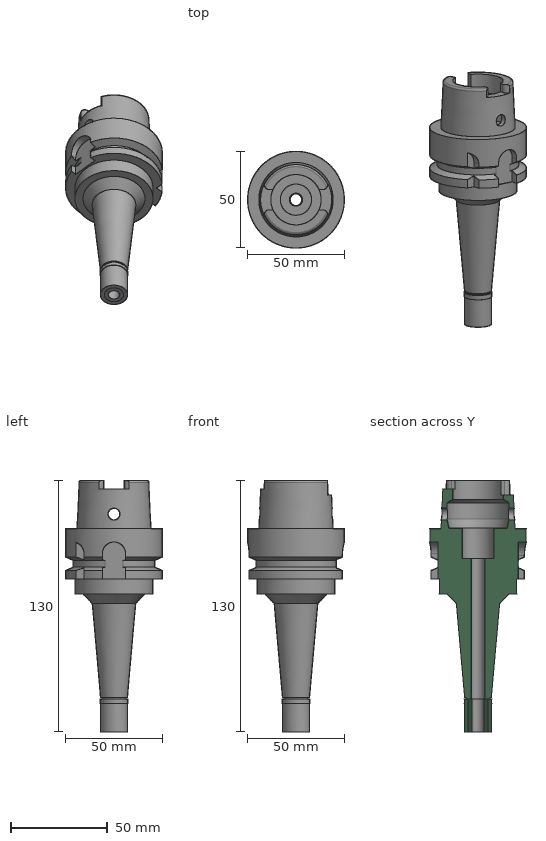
import cadquery as cq
import math

LENGTH = 130.0

SHANK_LENGTH = 25.0
SHANK_BASE_RADIUS = 19.2
SHANK_TIP_RADIUS = 18.1
SHANK_RIM_ROUNDING = 1.0
CROSS_HOLE_RADIUS = 3.0
CROSS_HOLE_DEPTH = 17.4

SHANK_SLOT_HALF_WIDTH = 5.2
SHANK_SLOT_ROUNDING = 2.6
SHANK_SLOT_LIP_X = 16.4
SHANK_SLOT_DEPTH_NEG_X = 4.4
SHANK_SLOT_DEPTH_POS_X = 7.5

MOUTH_RADIUS = 13.0
MOUTH_DEPTH = 9.9
CLAMP_FACE_ANGLE = math.radians(30)
CHAMBER_RADIUS = 16.0
CHAMBER_WALL_DEPTH = 20.0
CHAMBER_FLOOR_RADIUS = 15.0
CHAMBER_FLOOR_DEPTH = 24.7
THREAD_BORE_RADIUS = 8.0
THREAD_BORE_LENGTH = 15.6
COOLANT_BORE_RADIUS = 3.4

FLANGE_DIAMETER = 50.0
FLANGE_RADIUS = FLANGE_DIAMETER / 2
FLANGE_HEIGHT = 26.0
GROOVE_RADIUS = 21.2
GROOVE_TOP_DEPTH = 14.7
GROOVE_WALL_HEIGHT = 1.7
GROOVE_FLOOR_HEIGHT = 3.5

KEY_FLOOR_NEG_X = 20.7
KEY_FLOOR_POS_X = 20.9
KEY_TOP_DEPTH = 6.9
KEY_HALF_WIDTH_NEG_X = 6.0
KEY_HALF_WIDTH_POS_X = 7.0
NOTCH_FLOOR_X = 15.6
NOTCH_Y = 21.5

HUB_RADIUS = 20.2
HUB_LENGTH = 7.8
SHOULDER_RADIUS = 16.0
SHOULDER_LENGTH = 4.8
NECK_TOP_RADIUS = 11.3
NECK_BOTTOM_RADIUS = 7.0
RELIEF_RADIUS = 6.2
RELIEF_LENGTH = 0.8

NUT_LENGTH = 17.0
NUT_RADIUS = 7.0
COLLAR_RADIUS = 7.2
COLLAR_LENGTH = 2.3
COLLET_RADIUS = 5.0
COLLET_BORE_RADIUS = 3.0

FLANGE_TOP = LENGTH - SHANK_LENGTH
FLANGE_BOTTOM = FLANGE_TOP - FLANGE_HEIGHT
HUB_BOTTOM = FLANGE_BOTTOM - HUB_LENGTH
NECK_TOP = HUB_BOTTOM - SHOULDER_LENGTH
NECK_BOTTOM = NUT_LENGTH + RELIEF_LENGTH


def cylinder(radius, bottom, top):
    return cq.Workplane("XY").workplane(offset=bottom).circle(radius).extrude(top - bottom)


def revolved(points):
    """Solid of revolution about Z from (radius, height) points."""
    return cq.Workplane("XZ").polyline(points).close().revolve(360, (0, 0), (0, 1))


def shank():
    cone = revolved([
        (0, FLANGE_TOP),
        (SHANK_BASE_RADIUS, FLANGE_TOP),
        (SHANK_TIP_RADIUS, LENGTH),
        (0, LENGTH),
    ])
    return cone.faces(">Z").edges().fillet(SHANK_RIM_ROUNDING)


def flange_and_neck():
    groove_top = FLANGE_TOP - GROOVE_TOP_DEPTH
    floor_top = groove_top - GROOVE_WALL_HEIGHT
    floor_bottom = floor_top - GROOVE_FLOOR_HEIGHT
    groove_bottom = floor_bottom - GROOVE_WALL_HEIGHT
    return revolved([
        (0, FLANGE_TOP),
        (FLANGE_RADIUS, FLANGE_TOP),
        (FLANGE_RADIUS, groove_top),
        (GROOVE_RADIUS, floor_top),
        (GROOVE_RADIUS, floor_bottom),
        (FLANGE_RADIUS, groove_bottom),
        (FLANGE_RADIUS, FLANGE_BOTTOM),
        (HUB_RADIUS, FLANGE_BOTTOM),
        (HUB_RADIUS, HUB_BOTTOM),
        (SHOULDER_RADIUS, HUB_BOTTOM),
        (NECK_TOP_RADIUS, NECK_TOP),
        (NECK_BOTTOM_RADIUS, NECK_BOTTOM),
        (RELIEF_RADIUS, NECK_BOTTOM),
        (RELIEF_RADIUS, NUT_LENGTH),
        (0, NUT_LENGTH),
    ])


def bores():
    mouth_bottom = LENGTH - MOUTH_DEPTH
    clamp_bottom = mouth_bottom - (CHAMBER_RADIUS - MOUTH_RADIUS) * math.tan(CLAMP_FACE_ANGLE)
    wall_bottom = LENGTH - CHAMBER_WALL_DEPTH
    chamber_bottom = LENGTH - CHAMBER_FLOOR_DEPTH
    thread_bottom = chamber_bottom - THREAD_BORE_LENGTH
    return revolved([
        (0, LENGTH),
        (MOUTH_RADIUS, LENGTH),
        (MOUTH_RADIUS, mouth_bottom),
        (CHAMBER_RADIUS, clamp_bottom),
        (CHAMBER_RADIUS, wall_bottom),
        (CHAMBER_FLOOR_RADIUS, chamber_bottom),
        (THREAD_BORE_RADIUS, chamber_bottom),
        (THREAD_BORE_RADIUS, thread_bottom),
        (COOLANT_BORE_RADIUS, thread_bottom),
        (COOLANT_BORE_RADIUS, NUT_LENGTH),
        (0, NUT_LENGTH),
    ])


def cross_hole():
    return (
        cq.Workplane("YZ")
        .center(0, LENGTH - CROSS_HOLE_DEPTH)
        .circle(CROSS_HOLE_RADIUS)
        .extrude(SHANK_BASE_RADIUS, both=True)
    )


def shank_slot(side, depth):
    """Cutter for a slot in the shank face; side is +1 or -1 along X."""
    half = SHANK_SLOT_HALF_WIDTH
    flared = half + SHANK_SLOT_ROUNDING
    lip = side * SHANK_SLOT_LIP_X
    round_start = side * (SHANK_SLOT_LIP_X - SHANK_SLOT_ROUNDING)
    outer = side * SHANK_BASE_RADIUS
    return (
        cq.Workplane("XY")
        .workplane(offset=LENGTH - depth)
        .moveTo(0, -half)
        .lineTo(round_start, -half)
        .radiusArc((lip, -flared), side * SHANK_SLOT_ROUNDING)
        .lineTo(outer, -flared)
        .lineTo(outer, flared)
        .lineTo(lip, flared)
        .radiusArc((round_start, half), side * SHANK_SLOT_ROUNDING)
        .lineTo(0, half)
        .close()
        .extrude(depth)
    )


def flange_slot(side, floor_x, half_width, y=0.0):
    """Cutter for a round-topped slot, open at the flange bottom and outwards along X."""
    top = FLANGE_TOP - KEY_TOP_DEPTH
    spring = top - half_width
    return (
        cq.Workplane("YZ")
        .workplane(offset=side * floor_x)
        .moveTo(y - half_width, FLANGE_BOTTOM)
        .lineTo(y - half_width, spring)
        .threePointArc((y, top), (y + half_width, spring))
        .lineTo(y + half_width, FLANGE_BOTTOM)
        .close()
        .extrude(side * (FLANGE_RADIUS - floor_x))
    )


def make_holder():
    body = shank().union(flange_and_neck()).cut(bores()).cut(cross_hole())
    body = body.cut(shank_slot(-1, SHANK_SLOT_DEPTH_NEG_X))
    body = body.cut(shank_slot(1, SHANK_SLOT_DEPTH_POS_X))
    body = body.cut(flange_slot(-1, KEY_FLOOR_NEG_X, KEY_HALF_WIDTH_NEG_X))
    body = body.cut(flange_slot(1, KEY_FLOOR_POS_X, KEY_HALF_WIDTH_POS_X))
    return body.cut(flange_slot(-1, NOTCH_FLOOR_X, KEY_HALF_WIDTH_NEG_X, NOTCH_Y))


def make_nut():
    """Sleeve with a slightly larger collar at its upper end."""
    sleeve = cylinder(NUT_RADIUS, 0, NUT_LENGTH)
    collar = cylinder(COLLAR_RADIUS, NUT_LENGTH - COLLAR_LENGTH, NUT_LENGTH)
    return sleeve.union(collar).cut(cylinder(COLLET_RADIUS, 0, NUT_LENGTH))


def make_collet():
    """Plain bushing that fills the nut bore and ends flush with it."""
    return cylinder(COLLET_RADIUS, 0, NUT_LENGTH).cut(cylinder(COLLET_BORE_RADIUS, 0, NUT_LENGTH))


holder = make_holder()
nut = make_nut()
collet = make_collet()

result = cq.Compound.makeCompound([holder.val(), nut.val(), collet.val()])